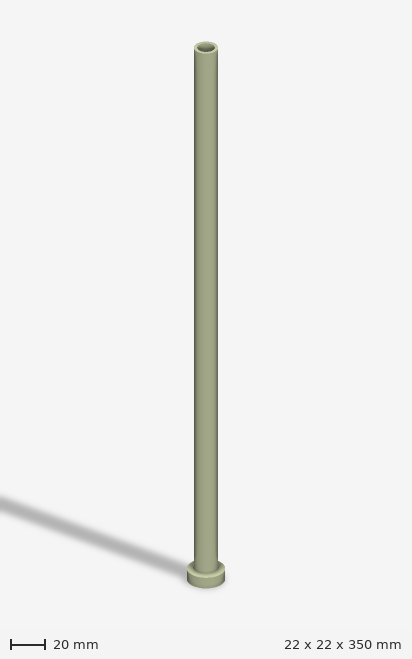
import cadquery as cq

total_length = 350.0
head_diameter = 22.0
head_height = 7.0
tube_diameter = 14.0
bore_diameter = 10.0
neck_fillet = 0.7

head_radius = head_diameter / 2
tube_radius = tube_diameter / 2
bore_radius = bore_diameter / 2

wall_section = (
    cq.Workplane("XZ")
    .moveTo(bore_radius, 0)
    .lineTo(head_radius, 0)
    .lineTo(head_radius, head_height)
    .lineTo(tube_radius + neck_fillet, head_height)
    .radiusArc((tube_radius, head_height + neck_fillet), neck_fillet)
    .lineTo(tube_radius, total_length)
    .lineTo(bore_radius, total_length)
    .close()
)

result = wall_section.revolve(360, (0, 0, 0), (0, 1, 0))